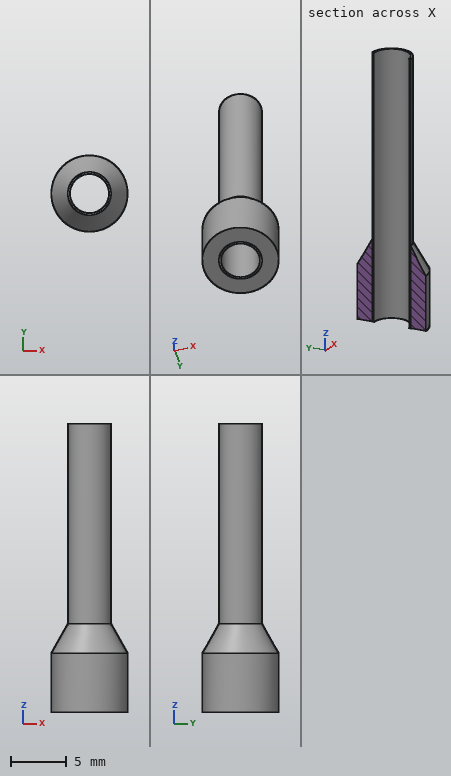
import cadquery as cq

total_length = 26.0
bore_diameter = 3.5
sleeve_wall = 0.2
sleeve_diameter = bore_diameter + 2 * sleeve_wall

collar_diameter = 6.9
collar_length = 8.0
cone_length = collar_length / 3
collar_straight_length = collar_length - cone_length


def make_sleeve():
    """Straight tube over the full length, open at both ends."""
    return (
        cq.Workplane("XY")
        .circle(sleeve_diameter / 2)
        .circle(bore_diameter / 2)
        .extrude(total_length)
    )


def make_collar():
    """Cylinder that tapers to the sleeve's outer diameter, with a hole that fits the sleeve."""
    collar_radius = collar_diameter / 2
    sleeve_radius = sleeve_diameter / 2
    half_section = [
        (sleeve_radius, 0),
        (collar_radius, 0),
        (collar_radius, collar_straight_length),
        (sleeve_radius, collar_length),
    ]
    return (
        cq.Workplane("XZ")
        .polyline(half_section)
        .close()
        .revolve(360, (0, 0), (0, 1))
    )


sleeve = make_sleeve()
collar = make_collar()

result = cq.Compound.makeCompound([sleeve.val(), collar.val()])